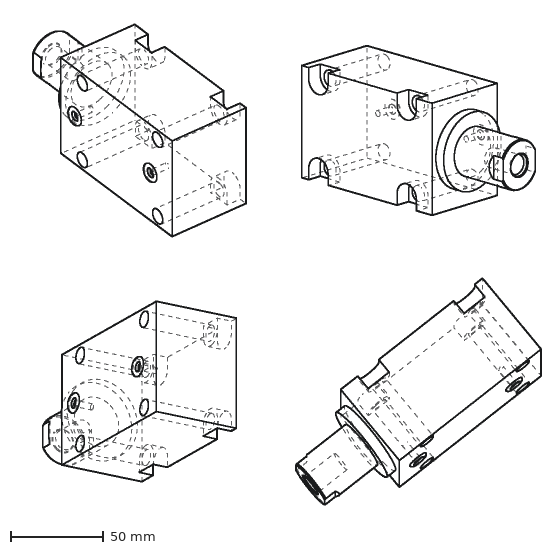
import cadquery as cq
import math

TOTAL_LENGTH = 140.0
BLOCK_LENGTH = 98.5
BLOCK_DEPTH = 50.7
BLOCK_HEIGHT = 63.5
AXIS_Y = 25.5

SPIGOT_LENGTH = TOTAL_LENGTH - BLOCK_LENGTH
FLANGE_RADIUS = 22.3
FLANGE_THICKNESS = 5.9
SHAFT_RADIUS = 14.0
NOSE_RADIUS = 14.1
NOSE_LENGTH = 9.0
NOSE_TIP_RADIUS = 13.7
TAPER_LENGTH = 0.8

FLAT_HALF_WIDTH = 12.5
FLAT_LENGTH = 7.4

BORE_RADIUS = 5.6
BORE_DEPTH = 21.0
MOUTH_RADIUS = 6.7
MOUTH_CHAMFER = 0.4
COUNTERSINK_DEPTH = 2.1

BOLT_DIAMETER = 9.0
BOLT_START_X = 19.2
BOLT_PITCH_X = 66.6
BOLT_PITCH_Z = 50.8
HEAD_SLOT_WIDTH = 14.5
HEAD_SLOT_DEPTH = 9.0

PORT_POSITIONS_X = (12.7, 79.5)
RING_TUBE_RADIUS = 1.4
RING_CENTER_RADIUS = 4.2
RING_PROTRUSION = 1.3
PORT_MOUTH_RADIUS = 2.7
PORT_RADIUS = 1.7
PORT_CHAMFER_DEPTH = 1.0
PORT_DEPTH = 11.2
PORT_TIP_DEPTH = PORT_RADIUS / math.tan(math.radians(59))


def revolve_about_spigot_axis(profile):
    """Revolve (x, radius) points around the spigot axis."""
    points = [(x, AXIS_Y + radius) for x, radius in profile]
    outline = cq.Workplane("XY").polyline(points).close()
    return outline.revolve(360, (0, AXIS_Y, 0), (1, AXIS_Y, 0))


def make_block():
    return cq.Workplane("XY").box(BLOCK_LENGTH, BLOCK_DEPTH, BLOCK_HEIGHT, centered=(False, False, True))


def make_spigot():
    tip = -SPIGOT_LENGTH
    nose_end = tip + NOSE_LENGTH
    body = revolve_about_spigot_axis([
        (tip, 0),
        (tip, NOSE_TIP_RADIUS),
        (tip + TAPER_LENGTH, NOSE_RADIUS),
        (nose_end, NOSE_RADIUS),
        (nose_end + TAPER_LENGTH, SHAFT_RADIUS),
        (-FLANGE_THICKNESS, SHAFT_RADIUS),
        (-FLANGE_THICKNESS, FLANGE_RADIUS),
        (0, FLANGE_RADIUS),
        (0, 0),
    ])
    bore = revolve_about_spigot_axis([
        (tip, 0),
        (tip, MOUTH_RADIUS),
        (tip + MOUTH_CHAMFER, MOUTH_RADIUS - MOUTH_CHAMFER),
        (tip + COUNTERSINK_DEPTH, BORE_RADIUS),
        (tip + BORE_DEPTH, BORE_RADIUS),
        (tip + BORE_DEPTH, 0),
    ])
    return body.cut(bore)


def make_flat_cutter(side):
    """Material outside one wrench flat, ending in a 45 degree run-out; side is +1 or -1."""
    runout = NOSE_RADIUS - FLAT_HALF_WIDTH + 1.4
    tip = -SPIGOT_LENGTH
    flat_end = tip + FLAT_LENGTH
    flat_y = AXIS_Y + side * FLAT_HALF_WIDTH
    outer_y = flat_y + side * runout
    outline = [(tip, flat_y), (flat_end, flat_y), (flat_end + runout, outer_y), (tip, outer_y)]
    return cq.Workplane("XY").polyline(outline).close().extrude(NOSE_RADIUS, both=True)


def make_bolt_cutter(x, side):
    """Through hole with a round-ended head slot open to the top (side +1) or bottom (-1)."""
    z = side * BOLT_PITCH_Z / 2
    slot_front = BLOCK_DEPTH - HEAD_SLOT_DEPTH
    to_edge = BLOCK_HEIGHT / 2 - BOLT_PITCH_Z / 2
    front_plane = cq.Workplane("XZ")
    slot_plane = cq.Workplane("XZ", origin=(0, slot_front, 0))
    hole = front_plane.center(x, z).circle(BOLT_DIAMETER / 2).extrude(-BLOCK_DEPTH)
    round_end = slot_plane.center(x, z).circle(HEAD_SLOT_WIDTH / 2).extrude(-HEAD_SLOT_DEPTH)
    open_end = (
        slot_plane.center(x, z + side * to_edge / 2)
        .rect(HEAD_SLOT_WIDTH, to_edge)
        .extrude(-HEAD_SLOT_DEPTH)
    )
    return hole.union(round_end).union(open_end)


def make_seal_ring(x):
    ring_y = RING_TUBE_RADIUS - RING_PROTRUSION
    section = cq.Workplane("XY").center(x + RING_CENTER_RADIUS, ring_y).circle(RING_TUBE_RADIUS)
    return section.revolve(360, (-RING_CENTER_RADIUS, 0, 0), (-RING_CENTER_RADIUS, 1, 0))


def make_port_cutter(x):
    """Chamfered blind hole with a conical drill tip."""
    profile = [
        (x, 0),
        (x + PORT_MOUTH_RADIUS, 0),
        (x + PORT_RADIUS, PORT_CHAMFER_DEPTH),
        (x + PORT_RADIUS, PORT_DEPTH),
        (x, PORT_DEPTH + PORT_TIP_DEPTH),
    ]
    return cq.Workplane("XY").polyline(profile).close().revolve(360, (x, 0, 0), (x, 1, 0))


result = make_block().union(make_spigot())

for side in (1, -1):
    result = result.cut(make_flat_cutter(side))
    for bolt_x in (BOLT_START_X, BOLT_START_X + BOLT_PITCH_X):
        result = result.cut(make_bolt_cutter(bolt_x, side))

for port_x in PORT_POSITIONS_X:
    result = result.union(make_seal_ring(port_x)).cut(make_port_cutter(port_x))